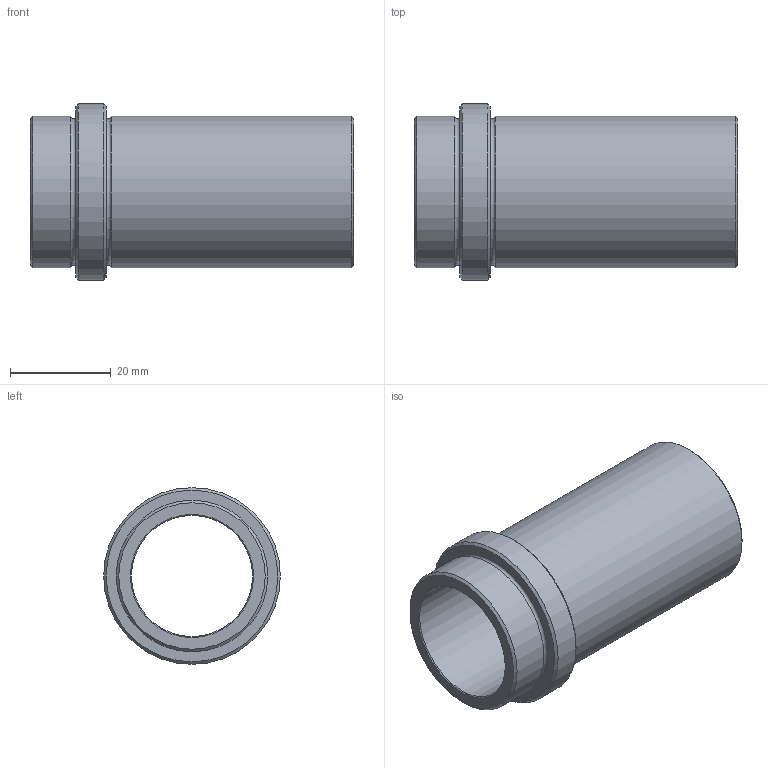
import cadquery as cq

length = 64.0
sleeve_radius = 30.0 / 2
bore_radius = 24.0 / 2
end_chamfer = 0.5
bore_chamfer = 0.2

collar_radius = 35.0 / 2
collar_start = 9.0
collar_width = 6.0
collar_end = collar_start + collar_width
collar_chamfer = 0.5

groove_radius = 0.5


def tube(start, end, radius):
    """Solid cylinder along X between two stations."""
    return cq.Workplane("YZ", origin=(start, 0, 0)).circle(radius).extrude(end - start)


def make_collar():
    """Collar disc with both rims chamfered."""
    return tube(collar_start, collar_end, collar_radius).edges().chamfer(collar_chamfer)


def make_groove(center):
    """Ring cutter with a round section centered on the sleeve surface."""
    return (
        cq.Workplane("XY")
        .center(center, sleeve_radius)
        .circle(groove_radius)
        .revolve(360, (0, -sleeve_radius, 0), (1, -sleeve_radius, 0))
    )


def make_bore():
    """Through-bore cutter with a small flare breaking the edge at each end."""
    flared_radius = bore_radius + bore_chamfer
    profile = [
        (0, 0),
        (0, flared_radius),
        (bore_chamfer, bore_radius),
        (length - bore_chamfer, bore_radius),
        (length, flared_radius),
        (length, 0),
    ]
    return cq.Workplane("XY").polyline(profile).close().revolve(360, (0, 0, 0), (1, 0, 0))


sleeve = tube(0, length, sleeve_radius).edges().chamfer(end_chamfer)
sleeve = sleeve.cut(make_groove(collar_start - groove_radius))
sleeve = sleeve.cut(make_groove(collar_end + groove_radius))
result = sleeve.union(make_collar()).cut(make_bore())